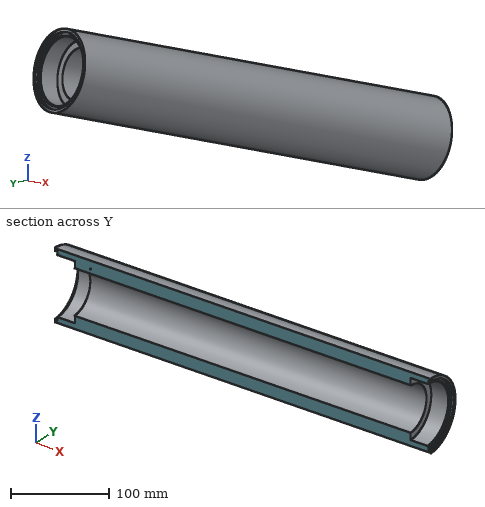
import cadquery as cq

length = 470.0
outer_diameter = 87.0
bore_diameter = 55.0

recess_diameter = 80.0
recess_depth = 3.0
socket_diameter = 72.0
socket_depth = 25.0
lead_in = 1.0


def cylinder(diameter, start, depth):
    """Cylinder on the X axis, running in +X from the start position."""
    return cq.Workplane("YZ", origin=(start, 0, 0)).circle(diameter / 2).extrude(depth)


def socket_cutter():
    """Stepped socket volume that opens at the -X end."""
    end = -length / 2
    recess = cylinder(recess_diameter, end, recess_depth)
    counterbore = cylinder(socket_diameter, end, socket_depth)
    chamfer = (
        cq.Workplane("YZ", origin=(end + recess_depth, 0, 0))
        .circle(socket_diameter / 2 + lead_in)
        .workplane(offset=lead_in)
        .circle(socket_diameter / 2)
        .loft()
    )
    return counterbore.union(recess).union(chamfer)


tube = cylinder(outer_diameter, -length / 2, length)
tube = tube.cut(cylinder(bore_diameter, -length / 2, length))

near_socket = socket_cutter()
far_socket = near_socket.mirror("YZ")
result = tube.cut(near_socket).cut(far_socket)